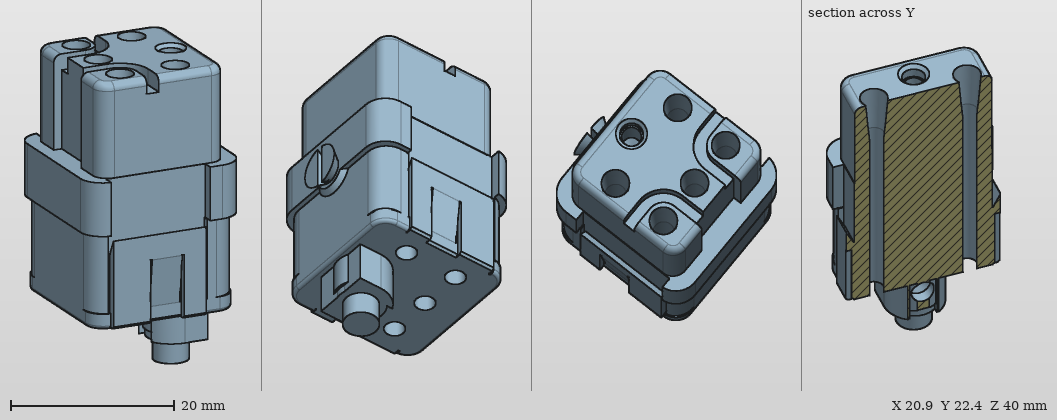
import cadquery as cq
import math

TOTAL_HEIGHT = 40.05
SHOULDER_Z = 27.8
COLLAR_BOTTOM_Z = 20.87
PANEL_TOP_Z = 20.05
FOOT_TOP_Z = 10.6
BODY_BOTTOM_Z = 8.6
TERMINAL_BOTTOM_Z = 3.12

TOWER_X = 18.0
TOWER_Y = 17.2
TOWER_CORNER = 1.95
TOP_FILLET = 1.0

COLLAR_SIDE = 20.9
COLLAR_CORNER = 3.05
BODY_SIDE = 19.55
BODY_CORNER = 2.9
FOOT_CORNER = 2.35
BOTTOM_FILLET = 0.5

RECESS_HALF_WIDTH = 3.8
RECESS_WALL_Y = -7.5
CHANNEL_WIDTH = 1.65
CHANNEL_DEPTH = 2.1
CHANNEL_OUTER_RADIUS = 3.75
CHANNEL_CENTER_Y = -4.3

CONTACT_X = 6.1
CONTACT_BACK_Y = 3.12
CONTACT_FRONT_Y = -4.4
CONTACT_MOUTH_DIAMETER = 3.45
CONTACT_BORE_DIAMETER = 2.65
CONTACT_TAPER_DEPTH = 6.0

TERMINAL_Y = 5.5
ACCESS_MOUTH_DIAMETER = 3.85
ACCESS_BORE_DIAMETER = 2.9
ACCESS_DRILL_DIAMETER = 2.4
ACCESS_TAPER_DEPTH = 0.5
ACCESS_BORE_DEPTH = 1.7
ACCESS_DRILL_DEPTH = 7.2

SIDE_WALL_X = 9.05
COLLAR_GAP_Y = (-7.75, 5.75)
POST_GAP_Y = (-7.75, 5.65)
FOOT_GAP_Y = (-7.5, 5.5)
PANEL_Y = (-7.25, 5.4)
PANEL_OUTER_X = 10.1
PANEL_CHAMFER = 0.32
PANEL_MERGE = 0.4
PANEL_LIP_DEPTH = 2.0

WINDOW_Y = (-2.2, 2.35)
WINDOW_TOP_Z = 16.85
WINDOW_FLOOR_X = 9.37
RAMP_SIDE_GAP = 0.25

SCREW_X = -0.15
SCREW_Z = 22.0
SCREW_OUTER_Y = 12.0
SCREW_HEAD_RADIUS = 2.92
SCREW_NECK_RADIUS = 1.75
SCREW_SLOT_WIDTH = 0.8
SCREW_SLOT_DEPTH = 1.1
SCREW_SEAT_BASE_RADIUS = 3.1
SCREW_SEAT_TOP_RADIUS = 2.35

TERMINAL_RADIUS = 3.93
TERMINAL_BACK_Y = 8.6
SLEEVE_RADIUS = 3.45
SLEEVE_BOTTOM_Z = 4.2
CORE_RADIUS = 3.2
TERMINAL_OPENING_HALF_WIDTH = 1.75
CLAMP_HOLE_RADIUS = 1.5
CLAMP_HOLE_Z = 7.05
CLAMP_HOLE_DEPTH = 1.6
SPIGOT_DIAMETER = 4.53

DRILL_POINT_ANGLE = 118.0
DRILL_POINT_SLOPE = 1 / math.tan(math.radians(DRILL_POINT_ANGLE / 2))


def box(x_range, y_range, z_range):
    """Box between the given limits."""
    sizes = [high - low for low, high in (x_range, y_range, z_range)]
    corner = (x_range[0], y_range[0], z_range[0])
    return cq.Workplane("XY").box(*sizes, centered=False).translate(corner)


def rounded_block(x_size, y_size, corner, bottom, top):
    """Centred upright block with rounded vertical edges."""
    block = cq.Workplane("XY").workplane(offset=bottom).rect(x_size, y_size).extrude(top - bottom)
    return block.edges("|Z").fillet(corner)


def upright_cylinder(radius, bottom, top):
    """Cylinder on the terminal axis."""
    plane = cq.Workplane("XY").workplane(offset=bottom).center(0, TERMINAL_Y)
    return plane.circle(radius).extrude(top - bottom)


def turned(profile):
    """Solid of revolution about Z from (radius, z) points."""
    return cq.Workplane("XZ").polyline(profile).close().revolve(360, (0, 0), (0, 1))


def mirrored_pair(solid):
    return solid.union(solid.mirror("YZ"))


def make_tower():
    tower = rounded_block(TOWER_X, TOWER_Y, TOWER_CORNER, COLLAR_BOTTOM_Z, TOTAL_HEIGHT)
    tower = tower.faces(">Z").edges().fillet(TOP_FILLET)
    recess = box(
        (-RECESS_HALF_WIDTH, RECESS_HALF_WIDTH),
        (-TOWER_Y, RECESS_WALL_Y),
        (SHOULDER_Z, TOTAL_HEIGHT),
    )
    return tower.cut(recess).cut(mirrored_pair(make_channel()))


def make_channel():
    """Channel from the left side of the tower, curving to its front."""
    outer = CHANNEL_OUTER_RADIUS
    inner = outer - CHANNEL_WIDTH
    center_x = -RECESS_HALF_WIDTH - inner
    diagonal = math.sqrt(0.5)
    return (
        cq.Workplane("XY")
        .workplane(offset=TOTAL_HEIGHT - CHANNEL_DEPTH)
        .moveTo(-TOWER_X, CHANNEL_CENTER_Y + outer)
        .lineTo(center_x, CHANNEL_CENTER_Y + outer)
        .threePointArc(
            (center_x + outer * diagonal, CHANNEL_CENTER_Y + outer * diagonal),
            (center_x + outer, CHANNEL_CENTER_Y),
        )
        .lineTo(center_x + outer, -TOWER_Y)
        .lineTo(center_x + inner, -TOWER_Y)
        .lineTo(center_x + inner, CHANNEL_CENTER_Y)
        .threePointArc(
            (center_x + inner * diagonal, CHANNEL_CENTER_Y + inner * diagonal),
            (center_x, CHANNEL_CENTER_Y + inner),
        )
        .lineTo(-TOWER_X, CHANNEL_CENTER_Y + inner)
        .close()
        .extrude(CHANNEL_DEPTH)
    )


def make_side_recess(y_range, bottom, top):
    return mirrored_pair(box((-COLLAR_SIDE, -SIDE_WALL_X), y_range, (bottom, top)))


def make_housing():
    collar = rounded_block(COLLAR_SIDE, COLLAR_SIDE, COLLAR_CORNER, COLLAR_BOTTOM_Z, SHOULDER_Z)
    collar = collar.cut(make_side_recess(COLLAR_GAP_Y, COLLAR_BOTTOM_Z, SHOULDER_Z))
    body = rounded_block(BODY_SIDE, BODY_SIDE, BODY_CORNER, FOOT_TOP_Z, COLLAR_BOTTOM_Z)
    body = body.cut(make_side_recess(POST_GAP_Y, FOOT_TOP_Z, COLLAR_BOTTOM_Z))
    foot = rounded_block(BODY_SIDE, BODY_SIDE, FOOT_CORNER, BODY_BOTTOM_Z, FOOT_TOP_Z)
    foot = foot.faces("<Z").edges().fillet(BOTTOM_FILLET)
    foot = foot.cut(make_side_recess(FOOT_GAP_Y, BODY_BOTTOM_Z, FOOT_TOP_Z))
    return collar.union(body).union(foot).union(mirrored_pair(make_panel()))


def side_prism(profile, y_range):
    """Prism along Y from an (x, z) outline."""
    plane = cq.Workplane("XZ", origin=(0, y_range[1], 0))
    return plane.polyline(profile).close().extrude(y_range[1] - y_range[0])


def make_panel():
    inner_x = PANEL_MERGE - SIDE_WALL_X
    panel = side_prism(
        [
            (-PANEL_OUTER_X, PANEL_TOP_Z),
            (-SIDE_WALL_X, PANEL_TOP_Z - PANEL_LIP_DEPTH),
            (inner_x, PANEL_TOP_Z - PANEL_LIP_DEPTH),
            (inner_x, BODY_BOTTOM_Z),
            (PANEL_CHAMFER - PANEL_OUTER_X, BODY_BOTTOM_Z),
            (-PANEL_OUTER_X, BODY_BOTTOM_Z + PANEL_CHAMFER),
        ],
        PANEL_Y,
    )
    window = side_prism(
        [
            (-COLLAR_SIDE, WINDOW_TOP_Z),
            (-WINDOW_FLOOR_X, WINDOW_TOP_Z),
            (-WINDOW_FLOOR_X, BODY_BOTTOM_Z + PANEL_CHAMFER),
            (PANEL_CHAMFER - WINDOW_FLOOR_X, BODY_BOTTOM_Z),
            (-COLLAR_SIDE, BODY_BOTTOM_Z),
        ],
        WINDOW_Y,
    )
    ramp = side_prism(
        [
            (-PANEL_OUTER_X, WINDOW_TOP_Z),
            (-SIDE_WALL_X, WINDOW_TOP_Z),
            (-SIDE_WALL_X, FOOT_TOP_Z),
            (-WINDOW_FLOOR_X, FOOT_TOP_Z),
        ],
        (WINDOW_Y[0] + RAMP_SIDE_GAP, WINDOW_Y[1] - RAMP_SIDE_GAP),
    )
    return panel.cut(window).union(ramp)


def make_contact_holes():
    mouth = CONTACT_MOUTH_DIAMETER / 2
    bore = CONTACT_BORE_DIAMETER / 2
    hole = turned([
        (0, TOTAL_HEIGHT),
        (mouth, TOTAL_HEIGHT),
        (bore, TOTAL_HEIGHT - CONTACT_TAPER_DEPTH),
        (bore, BODY_BOTTOM_Z),
        (0, BODY_BOTTOM_Z),
    ])
    centers = [(x, CONTACT_FRONT_Y) for x in (-CONTACT_X, 0, CONTACT_X)]
    centers += [(x, CONTACT_BACK_Y) for x in (-CONTACT_X, CONTACT_X)]
    holes = cq.Workplane("XY")
    for x, y in centers:
        holes = holes.add(hole.translate((x, y, 0)))
    return holes.combine()


def make_access_hole():
    bore = ACCESS_BORE_DIAMETER / 2
    drill = ACCESS_DRILL_DIAMETER / 2
    bore_bottom = TOTAL_HEIGHT - ACCESS_BORE_DEPTH
    drill_bottom = TOTAL_HEIGHT - ACCESS_DRILL_DEPTH
    hole = turned([
        (0, TOTAL_HEIGHT),
        (ACCESS_MOUTH_DIAMETER / 2, TOTAL_HEIGHT),
        (bore, TOTAL_HEIGHT - ACCESS_TAPER_DEPTH),
        (bore, bore_bottom),
        (drill, bore_bottom),
        (drill, drill_bottom),
        (0, drill_bottom - drill * DRILL_POINT_SLOPE),
    ])
    return hole.translate((0, TERMINAL_Y, 0))


def make_screw():
    """Slotted countersunk head standing on a conical seat."""
    seat_y = BODY_SIDE / 2
    collar_y = COLLAR_SIDE / 2
    root_y = SIDE_WALL_X
    screw = turned([
        (0, root_y),
        (SCREW_SEAT_BASE_RADIUS, root_y),
        (SCREW_SEAT_BASE_RADIUS, seat_y),
        (SCREW_SEAT_TOP_RADIUS, collar_y),
        (SCREW_NECK_RADIUS, collar_y),
        (SCREW_HEAD_RADIUS, SCREW_OUTER_Y),
        (0, SCREW_OUTER_Y),
    ])
    slot = box(
        (-SCREW_SLOT_WIDTH / 2, SCREW_SLOT_WIDTH / 2),
        (-SCREW_HEAD_RADIUS, SCREW_HEAD_RADIUS),
        (SCREW_OUTER_Y - SCREW_SLOT_DEPTH, SCREW_OUTER_Y),
    )
    screw = screw.cut(slot).rotate((0, 0, 0), (1, 0, 0), -90)
    return screw.translate((SCREW_X, 0, SCREW_Z))


def make_terminal():
    """U-shaped shell around a round sleeve, open at the front, with a cable spigot below."""
    heights = (TERMINAL_BOTTOM_Z, BODY_BOTTOM_Z)
    shell = upright_cylinder(TERMINAL_RADIUS, *heights)
    half_width = (-TERMINAL_RADIUS, TERMINAL_RADIUS)
    shell = shell.intersect(box(half_width, (TERMINAL_Y - TERMINAL_RADIUS, TERMINAL_Y), heights))
    shell = shell.union(box(half_width, (TERMINAL_Y, TERMINAL_BACK_Y), heights))
    opening = box(
        (-TERMINAL_OPENING_HALF_WIDTH, TERMINAL_OPENING_HALF_WIDTH),
        (TERMINAL_Y - TERMINAL_RADIUS, TERMINAL_Y),
        heights,
    )
    terminal = (
        shell.cut(opening)
        .union(upright_cylinder(CORE_RADIUS, TERMINAL_BOTTOM_Z, SLEEVE_BOTTOM_Z))
        .union(upright_cylinder(SLEEVE_RADIUS, SLEEVE_BOTTOM_Z, BODY_BOTTOM_Z))
        .cut(make_clamp_hole())
    )
    return terminal.union(upright_cylinder(SPIGOT_DIAMETER / 2, 0, TERMINAL_BOTTOM_Z))


def make_clamp_hole():
    """Blind drilled hole into the front of the sleeve."""
    depth_profile = [
        (0, 0),
        (CLAMP_HOLE_RADIUS, 0),
        (CLAMP_HOLE_RADIUS, CLAMP_HOLE_DEPTH),
        (0, CLAMP_HOLE_DEPTH + CLAMP_HOLE_RADIUS * DRILL_POINT_SLOPE),
    ]
    hole = turned(depth_profile).rotate((0, 0, 0), (1, 0, 0), -90)
    return hole.translate((0, TERMINAL_Y - SLEEVE_RADIUS, CLAMP_HOLE_Z))


result = (
    make_housing()
    .union(make_tower())
    .union(make_screw())
    .cut(make_contact_holes())
    .cut(make_access_hole())
    .union(make_terminal())
)